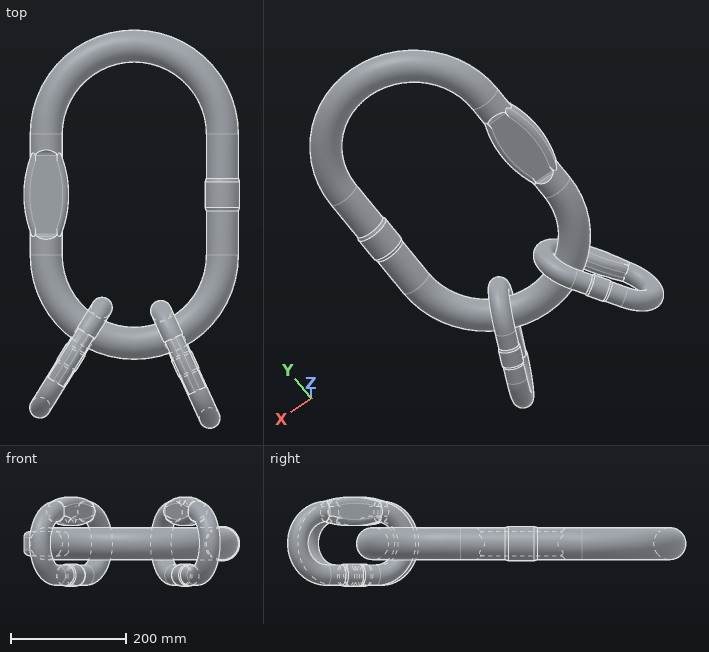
import cadquery as cq
import math

MASTER_BAR_DIAMETER = 56.0
MASTER_INNER_WIDTH = 250.0
MASTER_STRAIGHT = 210.5
MASTER_SLEEVE_DIAMETER = 60.0
MASTER_SLEEVE_LENGTH = 57.0
MASTER_SLEEVE_TAPER = 6.0
MASTER_PAD_WIDTH = 78.0
MASTER_PAD_THICKNESS = 42.0
MASTER_PAD_LENGTH = 141.0
MASTER_PAD_CHORD = 127.0
MASTER_PAD_FILLET = 10.5
MASTER_RAMP_FILLET = 5.5

SUB_BAR_DIAMETER = 36.0
SUB_INNER_WIDTH = 75.0
SUB_STRAIGHT = 94.0
SUB_SLEEVE_DIAMETER = 39.0
SUB_SLEEVE_LENGTH = 37.5
SUB_SLEEVE_TAPER = 4.0
SUB_PAD_WIDTH = 50.5
SUB_PAD_THICKNESS = 32.0
SUB_PAD_LENGTH = 98.0
SUB_PAD_CHORD = 97.0
SUB_PAD_FILLET = 11.0
SUB_RAMP_FILLET = 3.5

SUB_LINK_PLACES = [
    ((-110.0, -283.0, 1.0), -31.8),
    ((88.5, -295.0, 1.0), 24.5),
]


def oval_bar(bar_diameter, axis_radius, straight):
    """Round bar bent into an oval in XY: two straights along Y joined by half circles."""
    half = straight / 2
    path = (
        cq.Workplane("XY")
        .moveTo(axis_radius, 0)
        .lineTo(axis_radius, half)
        .threePointArc((0, half + axis_radius), (-axis_radius, half))
        .lineTo(-axis_radius, -half)
        .threePointArc((0, -half - axis_radius), (axis_radius, -half))
        .close()
    )
    return cq.Workplane("XZ").center(axis_radius, 0).circle(bar_diameter / 2).sweep(path)


def weld_sleeve(bar_diameter, sleeve_diameter, length, taper):
    """Thickened stretch of bar along Y, centred on the origin, tapering to the bar at both ends."""
    bar_radius = bar_diameter / 2
    sleeve_radius = sleeve_diameter / 2
    half = length / 2
    profile = [
        (0, -half),
        (bar_radius, -half),
        (sleeve_radius, taper - half),
        (sleeve_radius, half - taper),
        (bar_radius, half),
        (0, half),
    ]
    return cq.Workplane("XY").polyline(profile).close().revolve(360, (0, 0, 0), (0, 1, 0))


def flattening_cut(bar_diameter, pad_width, thickness, length, fillet):
    """Material pressed off the top of the bar: a flat floor with a 45 degree ramp at each end."""
    floor = thickness / 2
    half_floor = length / 2
    half_top = half_floor + bar_diameter - floor
    profile = [
        (-half_floor, floor),
        (half_floor, floor),
        (half_top, bar_diameter),
        (-half_top, bar_diameter),
    ]
    cut = cq.Workplane("YZ").polyline(profile).close().extrude(pad_width / 2, both=True)
    return cut.faces("<Z").edges("|X").fillet(fillet)


def bulged_pad(bar_diameter, pad_width, thickness, length, chord, fillet):
    """Flat-faced plate along Y whose two long sides bulge outward, with rounded long edges."""
    middle = pad_width / 2
    sagitta = (pad_width - bar_diameter) / 2
    side_radius = ((chord / 2) ** 2 + sagitta**2) / (2 * sagitta)
    ramp_run = (bar_diameter - thickness) / 2
    half_length = (length + ramp_run) / 2
    half_end = middle - side_radius + math.sqrt(side_radius**2 - half_length**2)
    return (
        cq.Workplane("XY")
        .workplane(offset=-thickness / 2)
        .moveTo(-half_end, -half_length)
        .lineTo(half_end, -half_length)
        .threePointArc((middle, 0), (half_end, half_length))
        .lineTo(-half_end, half_length)
        .threePointArc((-middle, 0), (-half_end, -half_length))
        .close()
        .extrude(thickness)
        .edges("(>X or <X) and (>Z or <Z)")
        .fillet(fillet)
    )


def make_link(
    bar_diameter, inner_width, straight,
    sleeve_diameter, sleeve_length, sleeve_taper,
    pad_width, pad_thickness, pad_length, pad_chord, pad_fillet, ramp_fillet,
):
    """Oval link in XY with its weld sleeve on the +X straight and its flattened pad on the -X one."""
    axis_radius = (inner_width + bar_diameter) / 2
    sleeve = weld_sleeve(bar_diameter, sleeve_diameter, sleeve_length, sleeve_taper)
    cut = flattening_cut(bar_diameter, pad_width, pad_thickness, pad_length, ramp_fillet)
    pad = bulged_pad(bar_diameter, pad_width, pad_thickness, pad_length, pad_chord, pad_fillet)
    return (
        oval_bar(bar_diameter, axis_radius, straight)
        .union(sleeve.translate((axis_radius, 0, 0)))
        .cut(cut.translate((-axis_radius, 0, 0)))
        .cut(cut.mirror("XY").translate((-axis_radius, 0, 0)))
        .union(pad.translate((-axis_radius, 0, 0)))
    )


def make_master_link():
    return make_link(
        MASTER_BAR_DIAMETER, MASTER_INNER_WIDTH, MASTER_STRAIGHT,
        MASTER_SLEEVE_DIAMETER, MASTER_SLEEVE_LENGTH, MASTER_SLEEVE_TAPER,
        MASTER_PAD_WIDTH, MASTER_PAD_THICKNESS, MASTER_PAD_LENGTH, MASTER_PAD_CHORD,
        MASTER_PAD_FILLET, MASTER_RAMP_FILLET,
    )


def make_sub_link(place, turn):
    """Sub-link stood upright with its pad on top, turned about Z and moved to its place."""
    link = make_link(
        SUB_BAR_DIAMETER, SUB_INNER_WIDTH, SUB_STRAIGHT,
        SUB_SLEEVE_DIAMETER, SUB_SLEEVE_LENGTH, SUB_SLEEVE_TAPER,
        SUB_PAD_WIDTH, SUB_PAD_THICKNESS, SUB_PAD_LENGTH, SUB_PAD_CHORD,
        SUB_PAD_FILLET, SUB_RAMP_FILLET,
    )
    upright = link.rotate((0, 0, 0), (0, 1, 0), 90)
    return upright.rotate((0, 0, 0), (0, 0, 1), turn).translate(place)


master_link = make_master_link()
sub_links = [make_sub_link(place, turn) for place, turn in SUB_LINK_PLACES]

result = cq.Compound.makeCompound([master_link.val(), *[link.val() for link in sub_links]])